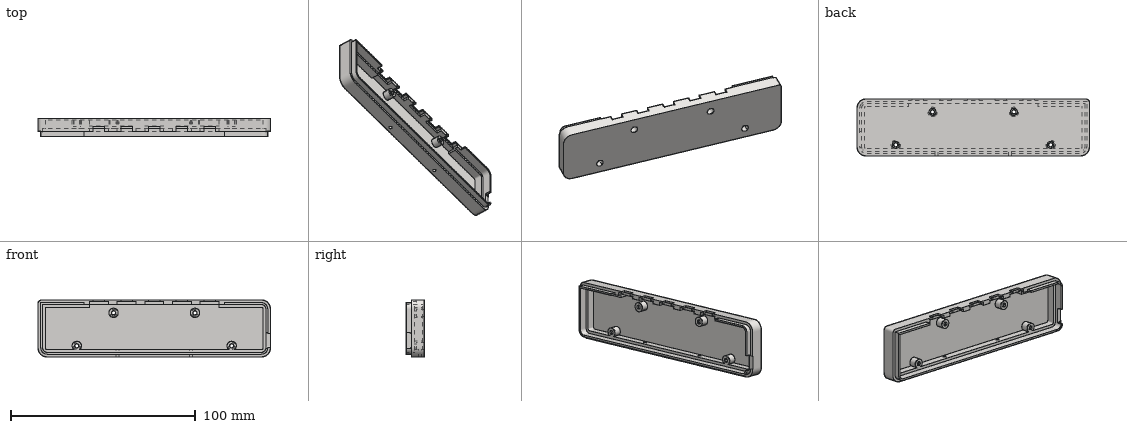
import cadquery as cq
length = 126.0
depth = 10.0
height = 31.0

lip_depth = 2.9
ledge_depth = 4.5
floor_thickness = 1.0

lip_outer_inset = 1.5
lip_inner_inset = 2.5
cavity_inset = 4.0

corner_radius = 5.0
small_corner_radius = 2.0

boss_diameter = 5.0
screw_hole_diameter = 2.1
screw_head_diameter = 3.8
screw_seat_thickness = 1.0
upper_boss_x = 22.0
upper_boss_z = 8.5
lower_boss_x = 42.0
lower_boss_z = -9.5

window_count = 5
window_pitch = 15.0
window_width = 6.2
window_depth = 2.5
window_skin = 1.0
pocket_width = 10.2
pocket_depth = 2.8
lip_gap_length = 76.0

port_width = 8.5
port_corner_radius = 1.0
port_depth = 3.0
port_z = -6.5

drain_diameter = 1.6
drain_x = 19.9
drain_above_floor = 1.5

front_y = -depth / 2
back_y = depth / 2
body_front_y = front_y + lip_depth
ledge_y = front_y + ledge_depth
floor_y = back_y - floor_thickness
top_z = height / 2
bottom_z = -height / 2
right_x = length / 2


def block(x_range, y_range, z_range):
    """Box spanning the given ranges."""
    size = [high - low for low, high in (x_range, y_range, z_range)]
    corner = (x_range[0], y_range[0], z_range[0])
    return cq.Workplane("XY").box(*size, centered=False).translate(corner)


def cylinder_y(x, z, diameter, y_range):
    """Cylinder along Y spanning the given range."""
    plane = cq.Workplane("XZ", origin=(x, y_range[0], z))
    return plane.circle(diameter / 2).extrude(y_range[0] - y_range[1])


def rounded_plate(inset, y_range):
    """Outer outline moved inwards by an inset, with a square corner at the upper left."""
    half_length = length / 2 - inset
    half_height = height / 2 - inset
    plate = block((-half_length, half_length), y_range, (-half_height, half_height))
    return plate.edges("|Y and (>X or <Z)").fillet(corner_radius - inset)


body = rounded_plate(0, (body_front_y, back_y))
body = body.edges("|Y and <X and >Z").fillet(small_corner_radius)
body = body.union(rounded_plate(lip_outer_inset, (front_y, back_y)))
body = body.cut(rounded_plate(lip_inner_inset, (front_y, ledge_y)))
body = body.cut(rounded_plate(cavity_inset, (front_y, floor_y)))

row_length = window_pitch * (window_count - 1) + pocket_width
row_x = (-row_length / 2, row_length / 2)
gap_x = (-lip_gap_length / 2, lip_gap_length / 2)
wall_inside_z = top_z - lip_inner_inset
body = body.cut(block(row_x, (front_y, floor_y), (0, wall_inside_z)))
body = body.cut(block(gap_x, (front_y, body_front_y), (wall_inside_z, top_z)))

skin_z = top_z - window_skin
for index in range(window_count):
    x = (index - (window_count - 1) / 2) * window_pitch
    pocket_x = (x - pocket_width / 2, x + pocket_width / 2)
    window_x = (x - window_width / 2, x + window_width / 2)
    body = body.cut(block(pocket_x, (front_y, body_front_y + pocket_depth), (wall_inside_z, skin_z)))
    body = body.cut(block(window_x, (front_y, body_front_y + window_depth), (wall_inside_z, top_z)))

boss_places = [
    (side * x, z)
    for side in (-1, 1)
    for x, z in ((upper_boss_x, upper_boss_z), (lower_boss_x, lower_boss_z))
]
for x, z in boss_places:
    body = body.union(cylinder_y(x, z, boss_diameter, (ledge_y, back_y)))
for x, z in boss_places:
    body = body.cut(cylinder_y(x, z, screw_hole_diameter, (ledge_y, back_y)))
    body = body.cut(cylinder_y(x, z, screw_head_diameter, (ledge_y + screw_seat_thickness, back_y)))

port = block(
    (right_x - cavity_inset, right_x),
    (front_y - port_depth, front_y + port_depth),
    (port_z - port_width / 2, port_z + port_width / 2),
)
port = port.edges("|X and >Y").fillet(port_corner_radius)
body = body.cut(port)

for x in (-drain_x, drain_x):
    plane = cq.Workplane("XY", origin=(x, floor_y - drain_above_floor, bottom_z))
    body = body.cut(plane.circle(drain_diameter / 2).extrude(cavity_inset))

result = body